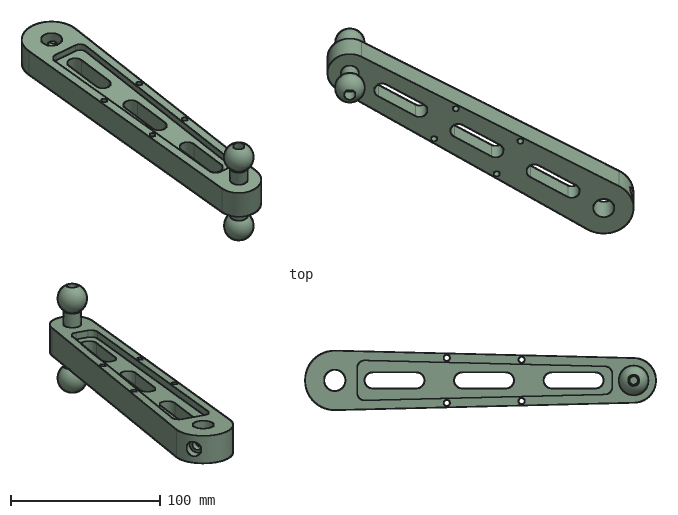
import cadquery as cq
import math

total_length = 235.0
big_radius = 20.0
small_radius = 15.0
thickness = 20.0
span = total_length - big_radius - small_radius
top_z = thickness / 2
bore_diameter = 14.0

taper_sine = (big_radius - small_radius) / span
taper_cosine = math.sqrt(1 - taper_sine**2)

pocket_rim = 6.0
pocket_depth = 5.0
pocket_start = 15.0
pocket_end = 185.6
pocket_corner_radius = 5.0

slot_count = 3
slot_length = 40.0
slot_width = 10.5
slot_pitch = 60.0
first_slot_center = 40.0

rim_hole_diameter = 4.0
rim_hole_stations = (75.0, 125.0)

side_hole_angle = 135
side_hole_diameter = 6.5
counterbore_diameter = 10.3
counterbore_floor = 13.0

overall_height = 76.0
stem_diameter = 12.0
stem_length = 10.0
ball_radius = 9.99
ball_bore_diameter = 7.5
spigot_chamfer = 1.0
ball_flat_offset = math.sqrt(ball_radius**2 - (ball_bore_diameter / 2)**2)
ball_center_z = overall_height / 2 - ball_flat_offset
seat_z = top_z + stem_length
spigot_length = ball_center_z - seat_z


def edge_y(x, inset=0.0):
    """Y of the +Y side edge at x, moved inward by inset."""
    return (big_radius - inset - x * taper_sine) / taper_cosine


def make_arm_blank():
    big_tangent = (big_radius * taper_sine, big_radius * taper_cosine)
    small_tangent = (span + small_radius * taper_sine, small_radius * taper_cosine)
    return (
        cq.Workplane("XY", origin=(0, 0, -top_z))
        .moveTo(*big_tangent)
        .lineTo(*small_tangent)
        .threePointArc((span + small_radius, 0), (small_tangent[0], -small_tangent[1]))
        .lineTo(big_tangent[0], -big_tangent[1])
        .threePointArc((-big_radius, 0), big_tangent)
        .close()
        .extrude(thickness)
    )


def make_pocket():
    start_y = edge_y(pocket_start, pocket_rim)
    end_y = edge_y(pocket_end, pocket_rim)
    return (
        cq.Workplane("XY", origin=(0, 0, top_z - pocket_depth))
        .polyline([
            (pocket_start, start_y),
            (pocket_end, end_y),
            (pocket_end, -end_y),
            (pocket_start, -start_y),
        ])
        .close()
        .extrude(pocket_depth)
        .edges("|Z")
        .fillet(pocket_corner_radius)
    )


def make_slots():
    centers = [(first_slot_center + i * slot_pitch, 0) for i in range(slot_count)]
    return (
        cq.Workplane("XY", origin=(0, 0, -top_z))
        .pushPoints(centers)
        .slot2D(slot_length, slot_width)
        .extrude(thickness)
    )


def make_round_holes():
    """Main bore and the rim holes, which lie midway across the rim."""
    rim_points = [
        (x, side * edge_y(x, pocket_rim / 2)) for x in rim_hole_stations for side in (1, -1)
    ]
    base = cq.Workplane("XY", origin=(0, 0, -top_z))
    bore = base.circle(bore_diameter / 2).extrude(thickness)
    rim_holes = base.pushPoints(rim_points).circle(rim_hole_diameter / 2).extrude(thickness)
    return bore.add(rim_holes).combine()


def make_side_hole():
    hole = cq.Workplane("YZ").circle(side_hole_diameter / 2).extrude(big_radius)
    counterbore = (
        cq.Workplane("YZ", origin=(counterbore_floor, 0, 0))
        .circle(counterbore_diameter / 2)
        .extrude(big_radius - counterbore_floor)
    )
    return hole.union(counterbore).rotate((0, 0, 0), (0, 0, 1), side_hole_angle)


def make_arm():
    return (
        make_arm_blank()
        .cut(make_pocket())
        .cut(make_slots())
        .cut(make_round_holes())
        .cut(make_side_hole())
    )


def make_stem():
    """Round stem standing on the arm, with a chamfered spigot inside the ball."""
    stem = (
        cq.Workplane("XY", origin=(span, 0, top_z))
        .circle(stem_diameter / 2)
        .extrude(stem_length)
    )
    spigot = (
        cq.Workplane("XY", origin=(span, 0, seat_z))
        .circle(ball_bore_diameter / 2)
        .extrude(spigot_length)
        .faces(">Z")
        .chamfer(spigot_chamfer)
    )
    return stem.union(spigot)


def make_ball():
    """Ball with a through bore, cut flat where it rests on the stem."""
    ball_height = ball_center_z + ball_radius - seat_z
    above_seat = (
        cq.Workplane("XY", origin=(span, 0, seat_z)).circle(ball_radius).extrude(ball_height)
    )
    bore = (
        cq.Workplane("XY", origin=(span, 0, seat_z))
        .circle(ball_bore_diameter / 2)
        .extrude(ball_height)
    )
    sphere = cq.Workplane("XY", origin=(span, 0, ball_center_z)).sphere(ball_radius)
    return sphere.intersect(above_seat).cut(bore)


arm = make_arm()
stems = []
balls = []
for turn in (0, 180):
    stems.append(make_stem().rotate((0, 0, 0), (1, 0, 0), turn).val())
    balls.append(make_ball().rotate((0, 0, 0), (1, 0, 0), turn).val())

result = cq.Compound.makeCompound([arm.val(), *stems, *balls])